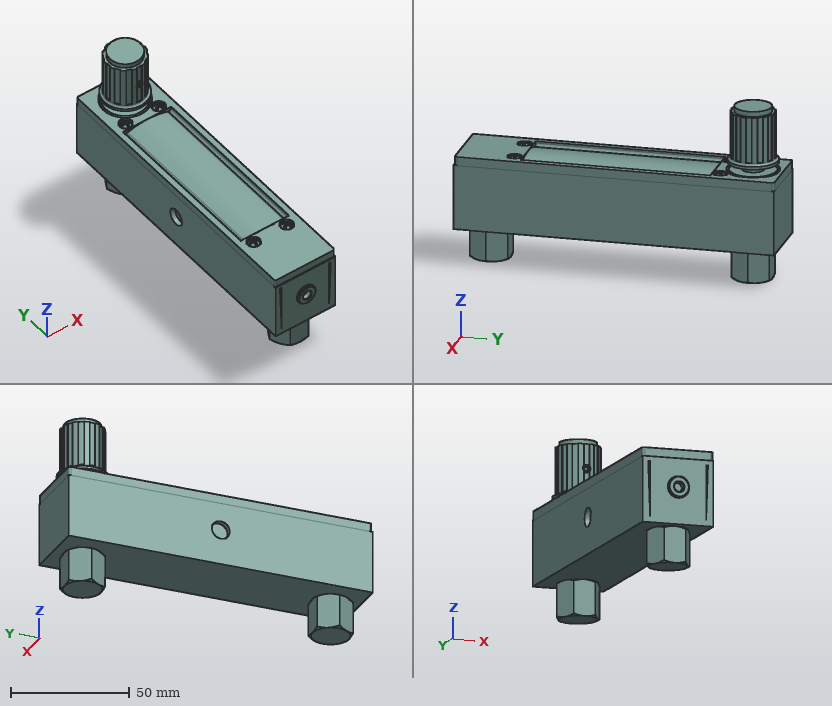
import cadquery as cq
import math


HOUSING_WIDTH = 31.7
HOUSING_LENGTH = 140.2
HOUSING_HEIGHT = 28.6
OVERALL_LENGTH = 141.5
FRONT_Y = -HOUSING_LENGTH / 2
BACK_Y = HOUSING_LENGTH / 2

COVER_THICKNESS = 3.8
COVER_FRONT_SETBACK = 0.4
COVER_CORNER_RADIUS = 1.0
COVER_TOP_Z = HOUSING_HEIGHT + COVER_THICKNESS

WINDOW_LENGTH = 82.9
WINDOW_CENTER_Y = 0.0
WINDOW_HALF_WIDTH = 12.7
WINDOW_DEPTH = 2.1
WINDOW_COVE_RADIUS = 1.4
LENS_HALF_WIDTH = 10.5
LENS_EDGE_DROP = 1.7
LENS_CROWN_DROP = 0.07

SCREW_X = 8.8
SCREW_BACK_Y = BACK_Y - 25.2
SCREW_FRONT_Y = BACK_Y - 115.3
SCREW_POCKET_RADIUS = 3.1
SCREW_POCKET_DEPTH = 1.1
SCREW_HEAD_RADIUS = 2.7
SCREW_HEAD_RISE = 0.5
SCREW_DOME_HEIGHT = 1.3
SCREW_CROSS_LENGTH = 4.0
SCREW_CROSS_WIDTH = 1.0
SCREW_CROSS_DEPTH = 1.3
LEFT_SCREW_TURN = 0
RIGHT_SCREW_TURN = 25

PORT_Z = 16.0
SIDE_HOLE_DIAMETER = 8.2
SIDE_HOLE_DEPTH = 2.5
PLUG_DIAMETER = 9.3
PLUG_THICKNESS = OVERALL_LENGTH - HOUSING_LENGTH
PLUG_CHAMFER = 0.4
PLUG_SOCKET_DIAMETER = 4.2
PLUG_SOCKET_DEPTH = 2.8
PLUG_SOCKET_CHAMFER = 0.3

MARK_INNER_X = 12.6
MARK_TOP_WIDTH = 0.8
MARK_TOP_Z = 26.5
MARK_HEIGHT = 23.6
MARK_DEPTH = 0.3

FITTING_FLATS = 16.7
FITTING_HEIGHT = 15.8
FITTING_CHAMFER_HEIGHT = 0.8
BACK_FITTING_Y = BACK_Y - 13.2
FITTING_SPACING = 114.5

KNOB_Y = BACK_FITTING_Y
KNOB_TURN = 3
RING_GROOVE_OUTER_RADIUS = 11.5
RING_GROOVE_WIDTH = 1.1
RING_GROOVE_DEPTH = 0.5
STEM_RADIUS = 4.7
STEM_GAP = 3.4
FLANGE_RADIUS = 11.0
FLANGE_THICKNESS = 1.3
GRIP_RADIUS = 9.8
GRIP_HEIGHT = 20.2
FLANGE_COVE_RADIUS = 1.1
CAP_RADIUS = 8.0
CAP_HEIGHT = 2.3
FLUTE_COUNT = 12
FLUTE_DEPTH = 0.4
SET_SCREW_HEIGHT = 9.6
SET_SCREW_BORE_DIAMETER = 3.4
SET_SCREW_BORE_DEPTH = 0.8
SET_SCREW_SOCKET_DIAMETER = 2.0
SET_SCREW_SOCKET_DEPTH = 1.7
FLANGE_BOTTOM_Z = COVER_TOP_Z + STEM_GAP
FLANGE_TOP_Z = FLANGE_BOTTOM_Z + FLANGE_THICKNESS
GRIP_BOTTOM_Z = FLANGE_TOP_Z + FLANGE_COVE_RADIUS
GRIP_TOP_Z = GRIP_BOTTOM_Z + GRIP_HEIGHT
CAP_TOP_Z = GRIP_TOP_Z + CAP_HEIGHT


def housing_block():
    """Plain block that carries the cover layer."""
    return cq.Workplane("XY").box(
        HOUSING_WIDTH, HOUSING_LENGTH, HOUSING_HEIGHT, centered=(True, True, False)
    )


def cover_layer():
    """Cover flush with the block at the back and sides, set back at the front."""
    length = HOUSING_LENGTH - COVER_FRONT_SETBACK
    return (
        cq.Workplane("XY", origin=(0, COVER_FRONT_SETBACK / 2, HOUSING_HEIGHT))
        .box(HOUSING_WIDTH, length, COVER_THICKNESS, centered=(True, True, False))
        .edges("|Z")
        .fillet(COVER_CORNER_RADIUS)
    )


def window_cutter():
    """Space around the lens: coved long sides, bevelled lens edges, and the arc of the lens."""
    cove_mid = WINDOW_COVE_RADIUS * (1 - math.sqrt(0.5))
    floor_half = WINDOW_HALF_WIDTH - WINDOW_COVE_RADIUS
    cove_z = WINDOW_COVE_RADIUS - WINDOW_DEPTH
    end_y = WINDOW_CENTER_Y + WINDOW_LENGTH / 2
    return (
        cq.Workplane("XZ", origin=(0, end_y, COVER_TOP_Z))
        .moveTo(-WINDOW_HALF_WIDTH, 0)
        .lineTo(-WINDOW_HALF_WIDTH, cove_z)
        .threePointArc((cove_mid - WINDOW_HALF_WIDTH, cove_mid - WINDOW_DEPTH), (-floor_half, -WINDOW_DEPTH))
        .lineTo(-LENS_HALF_WIDTH, -LENS_EDGE_DROP)
        .threePointArc((0, -LENS_CROWN_DROP), (LENS_HALF_WIDTH, -LENS_EDGE_DROP))
        .lineTo(floor_half, -WINDOW_DEPTH)
        .threePointArc((WINDOW_HALF_WIDTH - cove_mid, cove_mid - WINDOW_DEPTH), (WINDOW_HALF_WIDTH, cove_z))
        .lineTo(WINDOW_HALF_WIDTH, 0)
        .close()
        .extrude(WINDOW_LENGTH)
    )


def screw_pocket(x, y):
    """Round pocket that leaves a ring-shaped gap around a screw head."""
    return (
        cq.Workplane("XY", origin=(x, y, COVER_TOP_Z))
        .circle(SCREW_POCKET_RADIUS)
        .extrude(-SCREW_POCKET_DEPTH)
    )


def screw_head(x, y, turn):
    """Domed head standing on its pocket floor, with a cross recess."""
    top_z = SCREW_HEAD_RISE
    rim_z = top_z - SCREW_DOME_HEIGHT
    sphere_radius = (SCREW_HEAD_RADIUS**2 + SCREW_DOME_HEIGHT**2) / (2 * SCREW_DOME_HEIGHT)
    mid_r = SCREW_HEAD_RADIUS / 2
    mid_z = top_z - sphere_radius + math.sqrt(sphere_radius**2 - mid_r**2)
    head = (
        cq.Workplane("XZ")
        .moveTo(0, -SCREW_POCKET_DEPTH)
        .lineTo(SCREW_HEAD_RADIUS, -SCREW_POCKET_DEPTH)
        .lineTo(SCREW_HEAD_RADIUS, rim_z)
        .threePointArc((mid_r, mid_z), (0, top_z))
        .close()
        .revolve(360, (0, 0, 0), (0, 1, 0))
    )
    for angle in (turn, turn + 90):
        slot = (
            cq.Workplane("XY", origin=(0, 0, top_z))
            .rect(SCREW_CROSS_LENGTH, SCREW_CROSS_WIDTH)
            .extrude(-SCREW_CROSS_DEPTH)
            .rotate((0, 0, 0), (0, 0, 1), angle)
        )
        head = head.cut(slot)
    return head.translate((x, y, COVER_TOP_Z))


def ring_groove():
    """V-shaped ring groove in the cover around the knob axis."""
    return (
        cq.Workplane("XZ")
        .polyline([
            (RING_GROOVE_OUTER_RADIUS, 0),
            (RING_GROOVE_OUTER_RADIUS - RING_GROOVE_WIDTH / 2, -RING_GROOVE_DEPTH),
            (RING_GROOVE_OUTER_RADIUS - RING_GROOVE_WIDTH, 0),
        ])
        .close()
        .revolve(360, (0, 0, 0), (0, 1, 0))
        .translate((0, KNOB_Y, COVER_TOP_Z))
    )


def side_hole():
    """Blind round hole in the middle of the -X side."""
    return (
        cq.Workplane("YZ", origin=(-HOUSING_WIDTH / 2, 0, PORT_Z))
        .circle(SIDE_HOLE_DIAMETER / 2)
        .extrude(SIDE_HOLE_DEPTH)
    )


def end_plug():
    """Chamfered disc on the front end."""
    return (
        cq.Workplane("XZ", origin=(0, FRONT_Y, PORT_Z))
        .circle(PLUG_DIAMETER / 2)
        .extrude(PLUG_THICKNESS)
        .faces("<Y")
        .chamfer(PLUG_CHAMFER)
    )


def plug_socket():
    """Round socket with a chamfered mouth in the end plug."""
    mouth = cq.Workplane("XZ", origin=(0, FRONT_Y - PLUG_THICKNESS, PORT_Z))
    bore = mouth.circle(PLUG_SOCKET_DIAMETER / 2).extrude(-PLUG_SOCKET_DEPTH)
    rim = mouth.circle(PLUG_SOCKET_DIAMETER / 2 + PLUG_SOCKET_CHAMFER).extrude(-PLUG_SOCKET_CHAMFER, taper=45)
    return bore.union(rim)


def end_mark(side):
    """Shallow groove on the front end, narrowing downwards to a point."""
    inner_x = side * MARK_INNER_X
    outer_x = side * (MARK_INNER_X + MARK_TOP_WIDTH)
    return (
        cq.Workplane("XZ", origin=(0, FRONT_Y, 0))
        .polyline([(inner_x, MARK_TOP_Z), (outer_x, MARK_TOP_Z), (inner_x, MARK_TOP_Z - MARK_HEIGHT)])
        .close()
        .extrude(-MARK_DEPTH)
    )


def finished_block():
    """Block with its side hole, front end marks and end plug."""
    block = housing_block().cut(side_hole())
    for side in (-1, 1):
        block = block.cut(end_mark(side))
    return block.union(end_plug()).cut(plug_socket())


def finished_cover():
    """Cover layer with its window, ring groove and screw heads."""
    cover = cover_layer().cut(window_cutter()).cut(ring_groove())
    for x, turn in ((-SCREW_X, LEFT_SCREW_TURN), (SCREW_X, RIGHT_SCREW_TURN)):
        for y in (SCREW_BACK_Y, SCREW_FRONT_Y):
            cover = cover.cut(screw_pocket(x, y)).union(screw_head(x, y, turn))
    return cover


def make_housing():
    """Block and cover layer as one solid that keeps the seam line between them."""
    return finished_block().union(finished_cover(), clean=False)


def make_fitting(y):
    """Hexagonal fitting below the housing, its corners chamfered at both ends."""
    corner_diameter = FITTING_FLATS / math.cos(math.pi / 6)
    hexagon = cq.Workplane("XY").polygon(6, corner_diameter).extrude(-FITTING_HEIGHT)
    corner_trim = (
        cq.Workplane("XY")
        .circle(corner_diameter / 2)
        .extrude(-FITTING_HEIGHT)
        .faces("<Z or >Z")
        .chamfer(FITTING_CHAMFER_HEIGHT, (corner_diameter - FITTING_FLATS) / 2)
    )
    return hexagon.intersect(corner_trim).translate((0, y, 0))


def knob_blank():
    """Turned shape of stem, flange, grip and cap, standing on the cover."""
    cove_mid = FLANGE_COVE_RADIUS * (1 - math.sqrt(0.5))
    return (
        cq.Workplane("XZ")
        .moveTo(0, COVER_TOP_Z)
        .lineTo(STEM_RADIUS, COVER_TOP_Z)
        .lineTo(STEM_RADIUS, FLANGE_BOTTOM_Z)
        .lineTo(FLANGE_RADIUS, FLANGE_BOTTOM_Z)
        .lineTo(FLANGE_RADIUS, FLANGE_TOP_Z)
        .lineTo(GRIP_RADIUS + FLANGE_COVE_RADIUS, FLANGE_TOP_Z)
        .threePointArc((GRIP_RADIUS + cove_mid, FLANGE_TOP_Z + cove_mid), (GRIP_RADIUS, GRIP_BOTTOM_Z))
        .lineTo(GRIP_RADIUS, GRIP_TOP_Z)
        .lineTo(CAP_RADIUS, GRIP_TOP_Z)
        .lineTo(CAP_RADIUS, CAP_TOP_Z)
        .lineTo(0, CAP_TOP_Z)
        .close()
        .revolve(360, (0, 0, 0), (0, 1, 0))
    )


def grip_flute(index):
    """Shallow flute, as wide as the ridge beside it; flute 0 faces -Y."""
    half_angle = math.pi / (2 * FLUTE_COUNT)
    root_radius = GRIP_RADIUS - FLUTE_DEPTH
    outer_radius = GRIP_RADIUS + FLUTE_DEPTH
    half_rise = math.sin(half_angle)
    half_run = math.cos(half_angle)
    return (
        cq.Workplane("XY", origin=(0, 0, GRIP_BOTTOM_Z))
        .moveTo(-root_radius * half_rise, -root_radius * half_run)
        .threePointArc((0, -root_radius), (root_radius * half_rise, -root_radius * half_run))
        .lineTo(outer_radius * half_rise, -outer_radius * half_run)
        .lineTo(-outer_radius * half_rise, -outer_radius * half_run)
        .close()
        .extrude(GRIP_HEIGHT)
        .rotate((0, 0, 0), (0, 0, 1), index * 360 / FLUTE_COUNT)
    )


def set_screw_hole():
    """Stepped blind hole in flute 0."""
    mouth = cq.Workplane("XZ", origin=(0, -GRIP_RADIUS, GRIP_BOTTOM_Z + SET_SCREW_HEIGHT))
    bore = mouth.circle(SET_SCREW_BORE_DIAMETER / 2).extrude(-SET_SCREW_BORE_DEPTH)
    socket = mouth.circle(SET_SCREW_SOCKET_DIAMETER / 2).extrude(-SET_SCREW_SOCKET_DEPTH)
    return bore.union(socket)


def make_knob():
    """Fluted valve knob with its stem, turned slightly about its axis."""
    body = knob_blank()
    for index in range(FLUTE_COUNT):
        body = body.cut(grip_flute(index))
    return body.cut(set_screw_hole()).rotate((0, 0, 0), (0, 0, 1), KNOB_TURN).translate((0, KNOB_Y, 0))


housing = make_housing()
knob = make_knob()
fittings = [make_fitting(y) for y in (BACK_FITTING_Y, BACK_FITTING_Y - FITTING_SPACING)]

result = cq.Compound.makeCompound([
    housing.val(),
    knob.val(),
    *[fitting.val() for fitting in fittings],
])